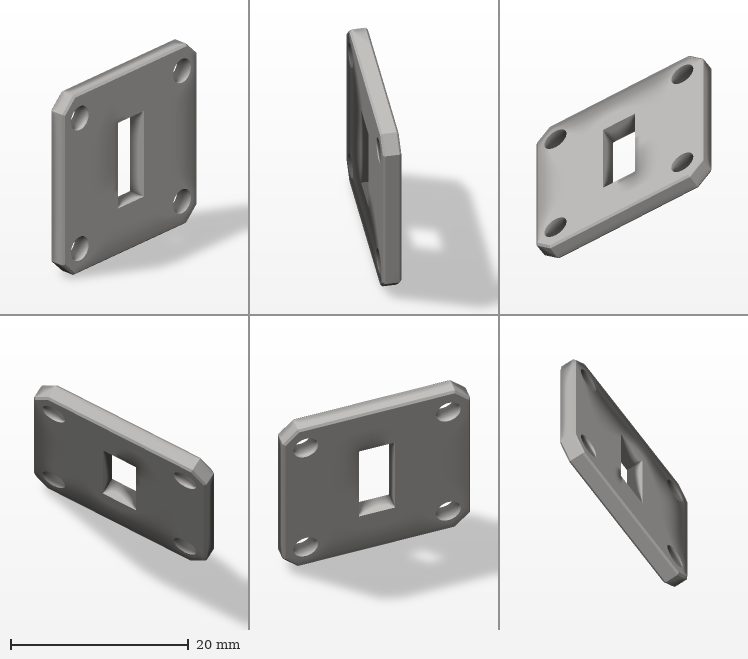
import cadquery as cq

side = 22.35
thickness = 2.12
corner_cut = 1.8
edge_chamfer = 0.25

window_width = 4.27
window_height = 10.65

hole_diameter = 2.95
hole_spacing_y = 17.0
hole_spacing_z = 16.25


def make_plate():
    """Square plate with cut corners and both face outlines chamfered."""
    plate = cq.Workplane("YZ").box(side, side, thickness)
    plate = plate.edges("|X").chamfer(corner_cut)
    return plate.faces("<X or >X").edges().chamfer(edge_chamfer)


def make_window():
    """Through opening for the waveguide."""
    return cq.Workplane("YZ").box(window_width, window_height, thickness)


def make_bolt_holes():
    """Four through holes on a rectangular pattern."""
    return (
        cq.Workplane("YZ", origin=(-thickness / 2, 0, 0))
        .rect(hole_spacing_y, hole_spacing_z, forConstruction=True)
        .vertices()
        .circle(hole_diameter / 2)
        .extrude(thickness)
    )


result = make_plate().cut(make_window()).cut(make_bolt_holes())